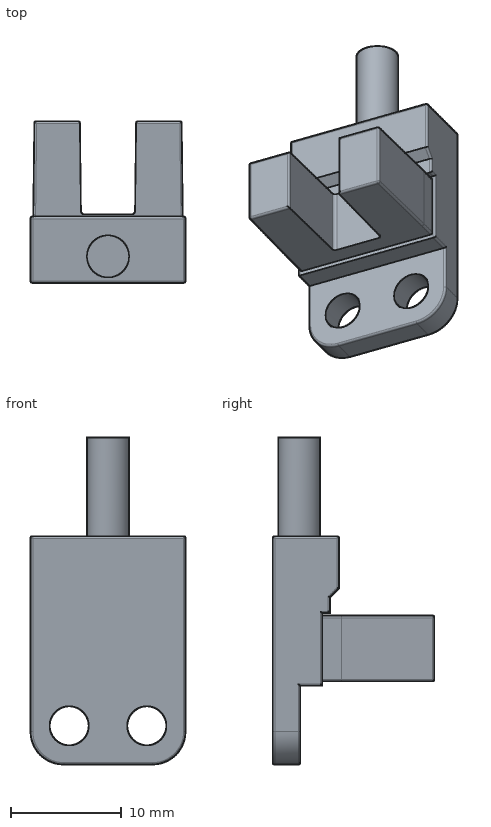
import cadquery as cq

WIDTH = 14.0
BODY_HEIGHT = 20.6
TOTAL_HEIGHT = 29.5
TOTAL_DEPTH = 14.6

FLANGE_DEPTH = 2.5
MIDDLE_DEPTH = 4.5
LEDGE_DEPTH = 5.2
TOP_DEPTH = 6.0
FLANGE_TOP = 7.1
MIDDLE_TOP = 13.65
RAMP_BOTTOM = 15.1
RAMP_TOP = RAMP_BOTTOM + (TOP_DEPTH - LEDGE_DEPTH)
CORNER_RADIUS = 3.0
BODY_ROUND = 0.2

HOLE_DIAMETER = 3.5
HOLE_SPACING = 7.0
HOLE_HEIGHT = 3.5

CABLE_DIAMETER = 3.8
CABLE_DEPTH = 2.4
CABLE_EMBED = 1.0

FORK_BOTTOM = 7.5
FORK_TOP = 13.45
FORK_WIDTH = 13.5
BRIDGE_DEPTH = 6.2
SLOT_WIDTH = 4.85
SIDE_TAPER = 0.1
FORK_ROUND = 0.2
SLOT_CORNER_RADIUS = 0.3


def make_body():
    """Stepped housing with a thin, rounded mounting flange at the bottom."""
    profile = [
        (0, 0),
        (FLANGE_DEPTH, 0),
        (FLANGE_DEPTH, FLANGE_TOP),
        (MIDDLE_DEPTH, FLANGE_TOP),
        (MIDDLE_DEPTH, MIDDLE_TOP),
        (LEDGE_DEPTH, MIDDLE_TOP),
        (LEDGE_DEPTH, RAMP_BOTTOM),
        (TOP_DEPTH, RAMP_TOP),
        (TOP_DEPTH, BODY_HEIGHT),
        (0, BODY_HEIGHT),
    ]
    body = cq.Workplane("YZ").polyline(profile).close().extrude(WIDTH / 2, both=True)
    body = body.faces("<Z").edges("|Y").fillet(CORNER_RADIUS)
    return body.faces("<Y or >Z or <X or >X").edges().fillet(BODY_ROUND)


def make_fork():
    """U-shaped fork whose prongs narrow evenly from the bridge to rounded tips."""
    outer_root = FORK_WIDTH / 2
    inner_root = SLOT_WIDTH / 2
    outer_tip = outer_root - SIDE_TAPER
    inner_tip = inner_root + SIDE_TAPER
    right_half = [
        (outer_root, FLANGE_DEPTH),
        (outer_root, BRIDGE_DEPTH),
        (outer_tip, TOTAL_DEPTH),
        (inner_tip, TOTAL_DEPTH),
        (inner_root, BRIDGE_DEPTH),
    ]
    left_half = [(-x, y) for x, y in reversed(right_half)]
    fork = (
        cq.Workplane("XY", origin=(0, 0, FORK_BOTTOM))
        .polyline(right_half + left_half)
        .close()
        .extrude(FORK_TOP - FORK_BOTTOM)
    )
    slot_corners = cq.selectors.BoxSelector(
        (-SLOT_WIDTH, BRIDGE_DEPTH - SLOT_CORNER_RADIUS, FORK_BOTTOM),
        (SLOT_WIDTH, BRIDGE_DEPTH + SLOT_CORNER_RADIUS, FORK_TOP),
    )
    fork = fork.edges("|Z").edges(slot_corners).fillet(SLOT_CORNER_RADIUS)
    fork = fork.faces("<X or >X or >X[1] or >X[-2]").edges("not |Z").fillet(FORK_ROUND)
    return fork.faces(">Y").edges().fillet(FORK_ROUND)


def make_cable():
    """Round cable stub leaving the top of the body."""
    start = BODY_HEIGHT - CABLE_EMBED
    return (
        cq.Workplane("XY", origin=(0, CABLE_DEPTH, start))
        .circle(CABLE_DIAMETER / 2)
        .extrude(TOTAL_HEIGHT - start)
    )


def make_holes():
    """Two through holes for the mounting flange."""
    return (
        cq.Workplane("XZ", origin=(0, 0, HOLE_HEIGHT))
        .pushPoints([(-HOLE_SPACING / 2, 0), (HOLE_SPACING / 2, 0)])
        .circle(HOLE_DIAMETER / 2)
        .extrude(-FLANGE_DEPTH)
    )


result = make_body().union(make_fork()).union(make_cable()).cut(make_holes())